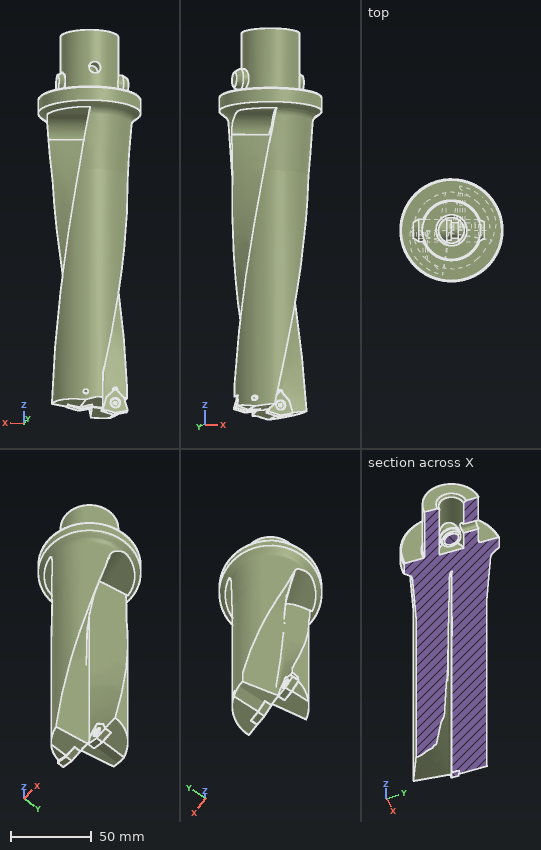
import cadquery as cq
import math


total_height = 240.0
flange_top = 200.2
flange_bottom = 191.0
neck_top = 184.0
cone_bottom = 149.5
shank_radius = 18.0
flange_radius = 31.8
neck_radius = 26.2
drill_radius = 23.8

flange_chamfer = 0.7
shank_base_radius = 18.7
shank_base_height = 1.5
flange_under_step = 1.0
fillet_top_radius = 28.3
fillet_top = 188.2

bore_radius = 8.0
bore_mouth_radius = 9.5
bore_floor = 199.2
side_hole_radius = 3.5
side_hole_height = 216.0

pin_height = 209.5
pin_radius = 7.0
pin_end_radius = 5.3
pin_cone_length = 3.5
pin_face_chamfer = 0.7
pin_outer_end = -23.8
pin_shoulder = -3.0
pin_collar_radius = 6.2
pin_collar_end = -0.2
pin_neck_radius = 4.8
pin_neck_depth = 3.5
nut_inner_end = 4.0
nut_outer_end = 20.2

run_out_start = 174.7
flute_top = 188.0
flute_end_radius = 13.0
flute_reach = 48.0
corner_blend = 1.5
section_count = 9
inner_flute = {
    "trailing": 0.0,
    "trailing_rate": 0.4333,
    "leading": -102.5,
    "leading_rate": 0.5208,
    "corner": -1.7,
    "twist_start": 3.5,
}
outer_flute = {
    "trailing": 180.0,
    "trailing_rate": 0.4583,
    "leading": 99.0,
    "leading_rate": 0.5333,
    "corner": 8.5,
    "twist_start": 16.8,
}

tip_low = 1.2
tip_centre = 3.0
tip_rim = 3.5

insert_corner_distance = 9.0
insert_side_distance = 6.5
insert_thickness = 4.8
insert_height = insert_side_distance
inner_insert_x = 6.7
outer_insert_x = 16.3
insert_relief_radius = 1.5
outer_pocket_top = 9.8
pocket_front_clearance = 1.2
insert_hole_radius = 3.0
screw_radius = 1.5
screw_seat_depth = 3.4
screw_head_recess = 0.7
screw_length = 15.5
socket_radius = 1.0
socket_depth = 2.0


def along_x(start, radius, length):
    """Cylinder along +X at the height of the clamping pin."""
    return cq.Workplane("YZ", origin=(start, 0, pin_height)).circle(radius).extrude(length)


def turned_along_x(points):
    """Solid turned about the axis of the clamping pin from (x, radius) points."""
    profile = cq.Workplane("XZ", origin=(0, 0, pin_height)).polyline(points).close()
    return profile.revolve(360, (0, 0, 0), (1, 0, 0))


def polar(radius, azimuth):
    angle = math.radians(azimuth)
    return cq.Vector(radius * math.cos(angle), radius * math.sin(angle), 0)


def flute_section(flute, height):
    """Corner of the flute and the directions of its two walls at a height."""
    trailing_rise = max(height - flute["twist_start"], 0)
    leading_rise = max(min(height, run_out_start) - flute["twist_start"], 0)
    trailing = flute["trailing"] + flute["trailing_rate"] * trailing_rise
    leading = flute["leading"] + flute["leading_rate"] * leading_rise
    corner = polar(flute["corner"], trailing)
    trailing_direction = polar(1, trailing)
    leading_direction = (polar(drill_radius, leading) - corner).normalized()
    return corner, trailing_direction, leading_direction


def flute_wire(flute, height):
    """Wedge between the two walls of the flute, with a small round where they meet."""
    corner, trailing_direction, leading_direction = flute_section(flute, height)
    corner += cq.Vector(0, 0, height)
    half_angle = trailing_direction.getAngle(leading_direction) / 2
    inward = (trailing_direction + leading_direction).normalized()
    centre_distance = corner_blend / math.cos(half_angle)
    round_radius = corner_blend * math.tan(half_angle)

    leading_start = corner + leading_direction * corner_blend
    round_middle = corner + inward * (centre_distance - round_radius)
    trailing_start = corner + trailing_direction * corner_blend
    trailing_end = corner + trailing_direction * flute_reach
    leading_end = corner + leading_direction * flute_reach
    outer_end = trailing_end + leading_direction * flute_reach
    return cq.Wire.assembleEdges([
        cq.Edge.makeThreePointArc(leading_start, round_middle, trailing_start),
        cq.Edge.makeLine(trailing_start, trailing_end),
        cq.Edge.makeLine(trailing_end, outer_end),
        cq.Edge.makeLine(outer_end, leading_end),
        cq.Edge.makeLine(leading_end, leading_start),
    ])


def run_out_limit(flute):
    """Space the flute may fill: near its top the leading wall curves over to a level ceiling."""
    corner, trailing_direction, leading_direction = flute_section(flute, run_out_start)
    upward = cq.Vector(0, 0, 1)
    across = leading_direction.cross(upward)
    if across.dot(trailing_direction) < 0:
        across = across * -1
    plane = cq.Plane(origin=corner, xDir=across, normal=across.cross(upward))
    return (
        cq.Workplane(plane)
        .moveTo(-flute_reach, 0)
        .lineTo(-flute_reach, run_out_start)
        .lineTo(0, run_out_start)
        .lineTo(0, flute_top - flute_end_radius)
        .radiusArc((flute_end_radius, flute_top), flute_end_radius)
        .lineTo(2 * flute_reach, flute_top)
        .lineTo(2 * flute_reach, 0)
        .close()
        .extrude(2 * flute_reach, both=True)
    )


def flute_cutters(flute):
    twist_start = flute["twist_start"]
    start = flute_wire(flute, 0)
    straight = cq.Solid.extrudeLinear(start, [], cq.Vector(0, 0, twist_start))
    step = (flute_top - twist_start) / (section_count - 1)
    wires = [flute_wire(flute, twist_start + step * index) for index in range(section_count)]
    twisted = cq.Workplane(cq.Solid.makeLoft(wires))
    return [cq.Workplane(straight), twisted.intersect(run_out_limit(flute))]


def trigon(front, back):
    points = []
    for index in range(3):
        corner = polar(insert_corner_distance, 90 + 120 * index)
        side = polar(insert_side_distance, 150 + 120 * index)
        points += [(corner.x, corner.y), (side.x, side.y)]
    return cq.Workplane("XZ", origin=(0, front, 0)).polyline(points).close().extrude(front - back)


def turned_along_y(points):
    """Solid turned about the Y axis from (radius, y) points."""
    return cq.Workplane("XY").polyline(points).close().revolve(360, (0, 0, 0), (0, 1, 0))


def make_screw():
    seat_slope = (insert_hole_radius - screw_radius) / screw_seat_depth
    head_radius = insert_hole_radius - screw_head_recess * seat_slope
    screw = turned_along_y([
        (0, screw_head_recess),
        (head_radius, screw_head_recess),
        (screw_radius, screw_seat_depth),
        (screw_radius, screw_length),
        (0, screw_length),
    ])
    socket = cq.Workplane("XZ").circle(socket_radius).extrude(-screw_head_recess - socket_depth)
    return screw.cut(socket)


def make_insert():
    screw_seat = turned_along_y([
        (0, 0),
        (insert_hole_radius, 0),
        (screw_radius, screw_seat_depth),
        (screw_radius, insert_thickness),
        (0, insert_thickness),
    ])
    return trigon(0, insert_thickness).cut(screw_seat)


def make_pocket(open_to_rim):
    """Room for one insert, with corner relief and the screw hole leading out of the body."""
    relief = (
        cq.Workplane("XZ")
        .center(0, insert_corner_distance - insert_relief_radius / 2)
        .circle(insert_relief_radius)
        .extrude(-insert_thickness)
    )
    screw_hole = cq.Workplane("XZ").circle(screw_radius).extrude(-flute_reach)
    pocket = trigon(-pocket_front_clearance, insert_thickness).union(relief).union(screw_hole)
    if open_to_rim:
        side_corner = polar(insert_side_distance, 30)
        opening = (
            cq.Workplane("XY", origin=(side_corner.x, 0, -insert_height))
            .box(drill_radius, insert_thickness, outer_pocket_top, centered=False)
        )
        pocket = pocket.union(opening)
    return pocket


def at_inner_seat(item):
    return item.translate((inner_insert_x, 0, insert_height))


def at_outer_seat(item):
    return item.translate((outer_insert_x, 0, insert_height)).rotate((0, 0, 0), (0, 0, 1), 180)


def turned_body():
    return (
        cq.Workplane("XZ")
        .lineTo(drill_radius, 0)
        .lineTo(drill_radius, cone_bottom)
        .lineTo(neck_radius, neck_top)
        .tangentArcPoint((fillet_top_radius, fillet_top), relative=False)
        .lineTo(flange_radius - flange_under_step, flange_bottom - flange_under_step)
        .lineTo(flange_radius, flange_bottom)
        .lineTo(flange_radius, flange_top - flange_chamfer)
        .lineTo(flange_radius - flange_chamfer, flange_top)
        .lineTo(shank_base_radius, flange_top)
        .lineTo(shank_radius, flange_top + shank_base_height)
        .lineTo(shank_radius, total_height)
        .lineTo(0, total_height)
        .close()
        .revolve(360, (0, 0, 0), (0, 1, 0))
    )


def tip_cutter(insert_x):
    """Space below one half of the tip, lowest in line with its insert; reaches towards +Y."""
    return (
        cq.Workplane("XZ")
        .moveTo(-flute_reach, 0)
        .lineTo(-flute_reach, tip_centre)
        .lineTo(0, tip_centre)
        .lineTo(insert_x, tip_low)
        .lineTo(drill_radius, tip_rim)
        .lineTo(flute_reach, tip_rim)
        .lineTo(flute_reach, 0)
        .close()
        .extrude(-flute_reach)
    )


def shank_bore():
    mouth_depth = bore_mouth_radius - bore_radius
    return (
        cq.Workplane("XZ")
        .moveTo(0, bore_floor)
        .lineTo(bore_radius, bore_floor)
        .lineTo(bore_radius, total_height - mouth_depth)
        .lineTo(bore_mouth_radius, total_height)
        .lineTo(0, total_height)
        .close()
        .revolve(360, (0, 0, 0), (0, 1, 0))
    )


def make_drill_body():
    body = turned_body()
    for flute in (inner_flute, outer_flute):
        for cutter in flute_cutters(flute):
            body = body.cut(cutter)
    body = body.cut(tip_cutter(inner_insert_x))
    body = body.cut(tip_cutter(outer_insert_x).rotate((0, 0, 0), (0, 0, 1), 180))
    body = body.cut(at_inner_seat(make_pocket(False)))
    body = body.cut(at_outer_seat(make_pocket(True)))

    pin_hole = along_x(-flange_radius, pin_radius, 2 * flange_radius)
    side_hole = (
        cq.Workplane("XZ", origin=(0, 0, side_hole_height))
        .circle(side_hole_radius)
        .extrude(-flange_radius)
    )
    return body.cut(shank_bore()).cut(pin_hole).cut(side_hole)


def make_clamping_pin():
    return turned_along_x([
        (pin_outer_end, 0),
        (pin_outer_end, pin_end_radius - pin_face_chamfer),
        (pin_outer_end + pin_face_chamfer, pin_end_radius),
        (pin_outer_end + pin_cone_length, pin_radius),
        (pin_shoulder, pin_radius),
        (pin_shoulder, pin_collar_radius),
        (pin_collar_end, pin_collar_radius),
        (pin_collar_end, pin_neck_radius),
        (nut_inner_end + pin_neck_depth, pin_neck_radius),
        (nut_inner_end + pin_neck_depth, 0),
    ])


def make_clamping_nut():
    return turned_along_x([
        (nut_inner_end + pin_neck_depth, 0),
        (nut_inner_end + pin_neck_depth, pin_neck_radius),
        (nut_inner_end, pin_neck_radius),
        (nut_inner_end, pin_radius),
        (nut_outer_end - pin_cone_length, pin_radius),
        (nut_outer_end, pin_end_radius),
        (nut_outer_end, 0),
    ])


drill_body = make_drill_body()
clamping_pin = make_clamping_pin()
clamping_nut = make_clamping_nut()
inserts = []
screws = []
for place in (at_inner_seat, at_outer_seat):
    inserts.append(place(make_insert()).val())
    screws.append(place(make_screw()).val())

result = cq.Compound.makeCompound(
    [drill_body.val(), clamping_pin.val(), clamping_nut.val(), *inserts, *screws]
)